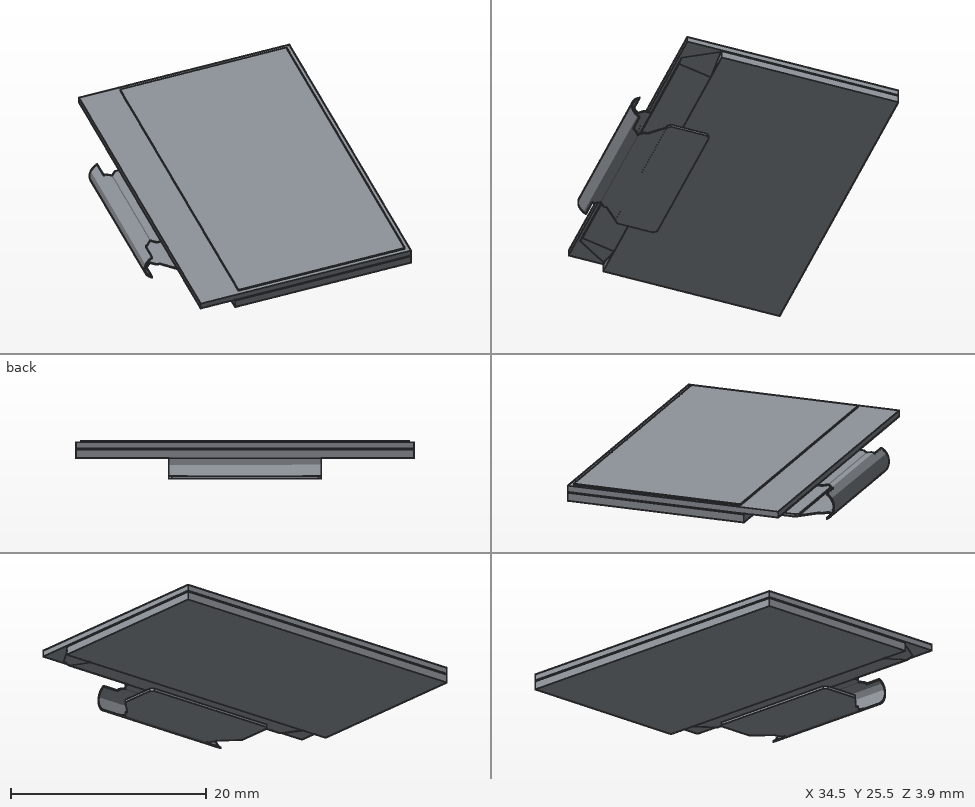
import cadquery as cq


GLASS_WIDTH = 34.5
GLASS_DEPTH = 23.0
GLASS_THICKNESS = 0.65
POLARIZER_MARGIN = 0.5
POLARIZER_FRONT = 4.3
POLARIZER_THICKNESS = 0.15

BACKING_FRONT = 3.75
BACKING_THICKNESS = 0.85
FILM_THICKNESS = 0.12
BACKING_BOTTOM = -FILM_THICKNESS - BACKING_THICKNESS

BEAD_BOTTOM_WIDTH = 28.1
BEAD_SIDE_RUN = 3.0
BEAD_FRONT = 0.3
BEAD_LIP = 0.25

CABLE_THICKNESS = 0.12
CABLE_WIDTH = 15.6
BEND_RADIUS = 1.55
PANEL_OVERHANG = 2.52
SHOULDER_Y = -1.65
NECK_WIDTH = 10.85
NECK_FLARE = 0.52
TAIL_FRONT = 1.45
TAIL_LENGTH = 4.55
TAIL_THICKNESS = 0.293
TAIL_CHAMFER = 0.3

BEND_Y = BEND_RADIUS - PANEL_OVERHANG
CABLE_BOTTOM = -2 * BEND_RADIUS


def plate(width, front, back, bottom, thickness):
    """Flat rectangular plate centred on X."""
    return (
        cq.Workplane("XY", origin=(0, (front + back) / 2, bottom))
        .rect(width, back - front)
        .extrude(thickness)
    )


def bead_section(y, bottom):
    """Trapezoid across the bead, from the glass down to the given height."""
    half_bottom = BEAD_BOTTOM_WIDTH / 2
    half_top = half_bottom - bottom * BEAD_SIDE_RUN
    corners = [(-half_top, 0), (half_top, 0), (half_bottom, bottom), (-half_bottom, bottom)]
    return cq.Wire.makePolygon([cq.Vector(x, y, z) for x, z in corners], close=True)


def make_bead():
    """Wedge that thins from the backing plate towards the cable, which meets its front face."""
    back = bead_section(BACKING_FRONT, BACKING_BOTTOM)
    front = bead_section(BEAD_FRONT, -BEAD_LIP)
    return cq.Workplane(cq.Solid.makeLoft([back, front], True))


def folded_strip():
    """Full-width cable strip: upper flat, half-round fold and lower flat."""
    inner_radius = BEND_RADIUS - CABLE_THICKNESS
    return (
        cq.Workplane("YZ", origin=(-CABLE_WIDTH / 2, 0, 0))
        .moveTo(BEAD_FRONT, 0)
        .lineTo(BEND_Y, 0)
        .threePointArc((-PANEL_OVERHANG, -BEND_RADIUS), (BEND_Y, CABLE_BOTTOM))
        .lineTo(TAIL_FRONT, CABLE_BOTTOM)
        .lineTo(TAIL_FRONT, CABLE_BOTTOM + CABLE_THICKNESS)
        .lineTo(BEND_Y, CABLE_BOTTOM + CABLE_THICKNESS)
        .threePointArc((BEND_Y - inner_radius, -BEND_RADIUS), (BEND_Y, -CABLE_THICKNESS))
        .lineTo(BEAD_FRONT, -CABLE_THICKNESS)
        .close()
        .extrude(CABLE_WIDTH)
    )


def cable_outline(end_points, bottom):
    """Plan outline of the upper or lower half of the strip, from the fold past the neck to its end."""
    half_width = CABLE_WIDTH / 2
    half_neck = NECK_WIDTH / 2
    half_flare = half_neck + NECK_FLARE
    right_side = [
        (half_width, -PANEL_OVERHANG),
        (half_width, SHOULDER_Y),
        (half_flare, SHOULDER_Y),
        (half_flare, BEND_Y - NECK_FLARE),
        (half_neck, BEND_Y),
        (half_flare, BEND_Y + NECK_FLARE),
        *end_points,
    ]
    left_side = [(-x, y) for x, y in reversed(right_side)]
    return (
        cq.Workplane("XY", origin=(0, 0, bottom))
        .polyline(right_side + left_side)
        .close()
        .extrude(BEND_RADIUS)
    )


def make_cable():
    """Folded cable with a notched neck above and below, and its thick tail.

    The lower flat widens at 45 degrees to the chamfered corners of the tail.
    """
    strip = folded_strip()
    half_flare = NECK_WIDTH / 2 + NECK_FLARE
    tail_corner = CABLE_WIDTH / 2 - TAIL_CHAMFER
    upper_end = [(half_flare, BEAD_FRONT)]
    lower_end = [(half_flare, TAIL_FRONT - (tail_corner - half_flare)), (tail_corner, TAIL_FRONT)]
    upper = strip.intersect(cable_outline(upper_end, -BEND_RADIUS))
    lower = strip.intersect(cable_outline(lower_end, CABLE_BOTTOM))
    tail = plate(CABLE_WIDTH, TAIL_FRONT, TAIL_FRONT + TAIL_LENGTH, CABLE_BOTTOM, TAIL_THICKNESS)
    tail = tail.edges("|Z").chamfer(TAIL_CHAMFER)
    return upper.union(lower).union(tail).clean()


polarizer = plate(
    GLASS_WIDTH - 2 * POLARIZER_MARGIN,
    POLARIZER_FRONT,
    GLASS_DEPTH - POLARIZER_MARGIN,
    GLASS_THICKNESS,
    POLARIZER_THICKNESS,
)
glass = plate(GLASS_WIDTH, 0, GLASS_DEPTH, 0, GLASS_THICKNESS)
film = plate(GLASS_WIDTH, BACKING_FRONT, GLASS_DEPTH, -FILM_THICKNESS, FILM_THICKNESS)
backing = plate(GLASS_WIDTH, BACKING_FRONT, GLASS_DEPTH, BACKING_BOTTOM, BACKING_THICKNESS)
bead = make_bead()
cable = make_cable()

bodies = [polarizer, glass, film, backing, bead, cable]
result = cq.Compound.makeCompound([body.val() for body in bodies])